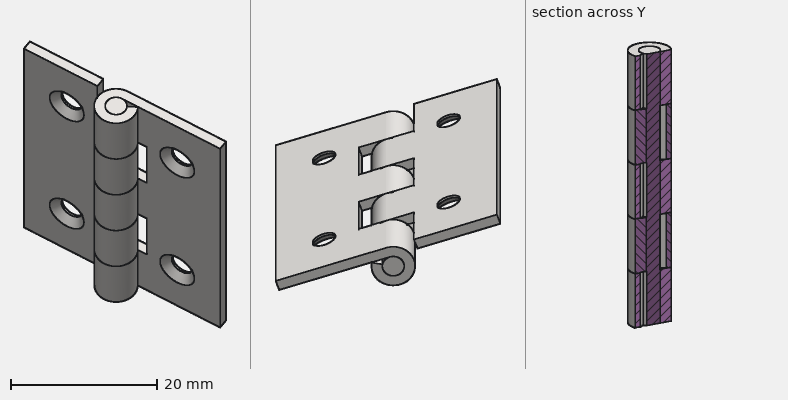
import cadquery as cq
import math

hinge_width = 32.0
hinge_height = 40.0
sheet_thickness = 1.5

pin_radius = 1.5
knuckle_radius = pin_radius + sheet_thickness
knuckle_count = 5
knuckle_height = hinge_height / knuckle_count
notch_edge_x = 4.0
slit_angle = 1.0
roll_middle_angle = 225.0
roll_end_angle = math.degrees(math.asin(pin_radius / knuckle_radius)) - slit_angle

screw_x = 9.0
screw_spacing_z = 24.0
screw_diameter = 3.3
countersink_diameter = 5.6
countersink_angle = 90.0


def polar(radius, degrees):
    """Point at the given radius and angle around the pin axis."""
    angle = math.radians(degrees)
    return (radius * math.cos(angle), radius * math.sin(angle))


def make_knuckle(bottom_z):
    """Sheet strip that runs in tangent to the roll and wraps around the pin."""
    return (
        cq.Workplane("XY", origin=(0, 0, bottom_z))
        .moveTo(notch_edge_x, knuckle_radius)
        .lineTo(0, knuckle_radius)
        .threePointArc(
            polar(knuckle_radius, roll_middle_angle),
            polar(knuckle_radius, roll_end_angle),
        )
        .lineTo(*polar(pin_radius, roll_end_angle))
        .threePointArc(polar(pin_radius, roll_middle_angle), (0, pin_radius))
        .lineTo(notch_edge_x, pin_radius)
        .close()
        .extrude(knuckle_height)
    )


def make_leaf(first_knuckle):
    """Leaf on the +X side, with every second knuckle starting at first_knuckle."""
    plate_width = hinge_width / 2 - notch_edge_x
    leaf = cq.Workplane("XY").box(plate_width, sheet_thickness, hinge_height).translate(
        (notch_edge_x + plate_width / 2, pin_radius + sheet_thickness / 2, 0)
    )
    for index in range(first_knuckle, knuckle_count, 2):
        leaf = leaf.union(make_knuckle(-hinge_height / 2 + index * knuckle_height))
    screw_points = [(screw_x, -screw_spacing_z / 2), (screw_x, screw_spacing_z / 2)]
    return (
        cq.Workplane("XZ", origin=(0, pin_radius, 0))
        .add(leaf)
        .pushPoints(screw_points)
        .cskHole(screw_diameter, countersink_diameter, countersink_angle, depth=sheet_thickness)
    )


def make_pin():
    """Plain pin, flush with both ends of the knuckles."""
    return cq.Workplane("XY", origin=(0, 0, -hinge_height / 2)).circle(pin_radius).extrude(hinge_height)


right_leaf = make_leaf(first_knuckle=0)
left_leaf = make_leaf(first_knuckle=1).mirror("YZ")
pin = make_pin()

result = cq.Compound.makeCompound([right_leaf.solids().val(), left_leaf.solids().val(), pin.val()])